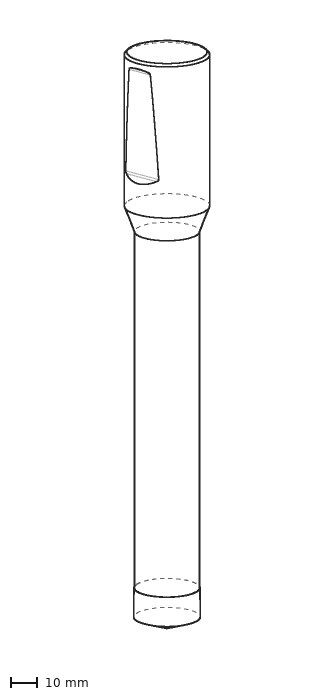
import cadquery as cq
import math

total_length = 225.0

shank_diameter = 32.0
shank_length = 60.0
shank_edge_chamfer = 1.0

neck_length = 10.0
body_diameter = 24.4

head_diameter = 25.0
head_rear_diameter = 24.8
head_side_length = 11.4
point_angle = 140.0

flat_angle = 2.0
flat_top_offset = 4.0
flat_length = 41.5
flat_top_depth = 0.92
flat_end_angle = 45.0
flat_corner_radius = 1.2
cutter_clearance = 2.0

head_radius = head_diameter / 2
head_rear_radius = head_rear_diameter / 2
body_radius = body_diameter / 2
shank_radius = shank_diameter / 2
point_height = head_radius / math.tan(math.radians(point_angle / 2))
head_top = point_height + head_side_length
shank_bottom = total_length - shank_length
neck_bottom = shank_bottom - neck_length


def make_head():
    """Replaceable drill head: slightly back-tapered side with a conical point."""
    profile = (
        cq.Workplane("XZ")
        .moveTo(0, 0)
        .lineTo(head_radius, point_height)
        .lineTo(head_rear_radius, head_top)
        .lineTo(0, head_top)
        .close()
    )
    return profile.revolve(360, (0, 0, 0), (0, 1, 0))


def make_flat_cutter():
    """Prism that removes the inclined flat together with its sloping ends."""
    flat_top = total_length - flat_top_offset
    flat_bottom = flat_top - flat_length
    top_y = -shank_radius + flat_top_depth
    bottom_y = top_y + flat_length * math.tan(math.radians(flat_angle))
    outside_y = -shank_radius - cutter_clearance
    end_slope = math.tan(math.radians(flat_end_angle))
    prism = (
        cq.Workplane("YZ")
        .moveTo(top_y, flat_top)
        .lineTo(bottom_y, flat_bottom)
        .lineTo(outside_y, flat_bottom - (bottom_y - outside_y) * end_slope)
        .lineTo(outside_y, flat_top + (top_y - outside_y) * end_slope)
        .close()
        .extrude(shank_radius, both=True)
    )
    inner_edges = cq.selectors.BoxSelector(
        (-shank_radius, -shank_radius, 0),
        (shank_radius, 0, total_length),
    )
    return prism.edges("|X").edges(inner_edges).fillet(flat_corner_radius)


def make_holder():
    """Tool holder: body, conical neck and shank with a clamping flat."""
    profile = (
        cq.Workplane("XZ")
        .moveTo(0, head_top)
        .lineTo(body_radius, head_top)
        .lineTo(body_radius, neck_bottom)
        .lineTo(shank_radius, shank_bottom)
        .lineTo(shank_radius, total_length - shank_edge_chamfer)
        .lineTo(shank_radius - shank_edge_chamfer, total_length)
        .lineTo(0, total_length)
        .close()
    )
    blank = profile.revolve(360, (0, 0, 0), (0, 1, 0))
    return blank.cut(make_flat_cutter())


head = make_head()
holder = make_holder()

result = cq.Compound.makeCompound([head.val(), holder.val()])